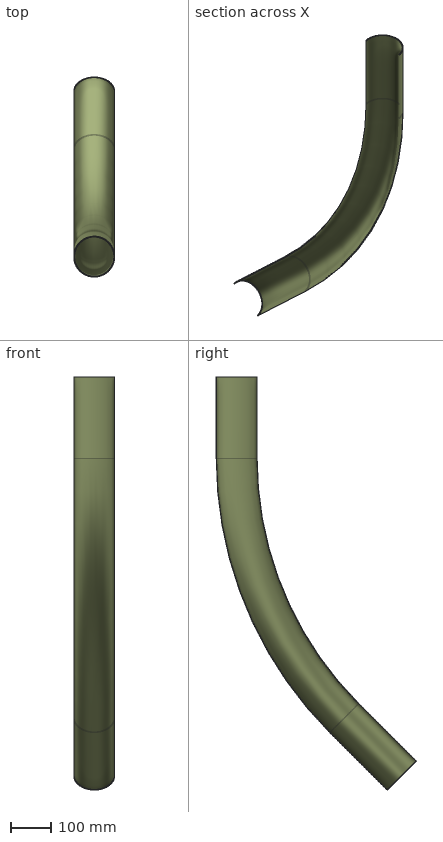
import cadquery as cq
import math

outer_diameter = 102.0
inner_diameter = 98.0
leg_length = 203.0
bend_radius = 915.0
bend_angle = 45.0


def bend_point(angle_degrees):
    """Centreline point (Y, Z) after turning by an angle from the bend start."""
    angle = math.radians(angle_degrees)
    y = bend_radius * (1 - math.cos(angle))
    z = -leg_length - bend_radius * math.sin(angle)
    return y, z


bend_start = bend_point(0)
bend_middle = bend_point(bend_angle / 2)
bend_end = bend_point(bend_angle)
slope = math.radians(bend_angle)
lower_mouth = (
    bend_end[0] + leg_length * math.sin(slope),
    bend_end[1] - leg_length * math.cos(slope),
)
centreline = (
    cq.Workplane("YZ")
    .moveTo(0, 0)
    .lineTo(*bend_start)
    .threePointArc(bend_middle, bend_end)
    .lineTo(*lower_mouth)
)

ring = cq.Workplane("XY").circle(outer_diameter / 2).circle(inner_diameter / 2)
result = ring.sweep(centreline)